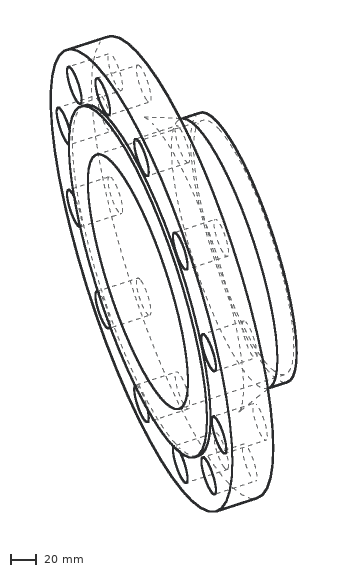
import cadquery as cq

flange_diameter = 375.0
total_length = 88.0
plate_thickness = 34.0

face_diameter = 285.0
face_height = 3.0

bore_diameter = 206.5
pipe_diameter = 219.0
pipe_length = 16.0
neck_base_diameter = 244.0
neck_fillet = 8.0

bolt_count = 12
bolt_circle_diameter = 320.0
bolt_hole_diameter = 30.0

plate_back = face_height + plate_thickness
pipe_start = total_length - pipe_length


def revolved_body():
    """Half section (radius, axial position) turned about the Y axis."""
    return (
        cq.Workplane("XY")
        .moveTo(bore_diameter / 2, 0)
        .lineTo(face_diameter / 2, 0)
        .lineTo(face_diameter / 2, face_height)
        .lineTo(flange_diameter / 2, face_height)
        .lineTo(flange_diameter / 2, plate_back)
        .lineTo(neck_base_diameter / 2, plate_back)
        .lineTo(pipe_diameter / 2, pipe_start)
        .lineTo(pipe_diameter / 2, total_length)
        .lineTo(bore_diameter / 2, total_length)
        .close()
        .revolve(360, (0, 0, 0), (0, 1, 0))
    )


def fillet_neck_root(body):
    """Round the corner where the tapered neck meets the back of the plate."""
    root_reach = neck_base_diameter / 2 + neck_fillet
    root_edge = cq.selectors.BoxSelector(
        (-root_reach, plate_back - neck_fillet, -root_reach),
        (root_reach, plate_back + neck_fillet, root_reach),
        boundingbox=True,
    )
    return body.edges("%CIRCLE").edges(root_edge).fillet(neck_fillet)


def bolt_holes():
    """Cylinders on the bolt circle, passing right through the plate."""
    return (
        cq.Workplane("XZ")
        .polarArray(bolt_circle_diameter / 2, 0, 360, bolt_count)
        .circle(bolt_hole_diameter / 2)
        .extrude(-total_length)
    )


result = fillet_neck_root(revolved_body()).cut(bolt_holes())